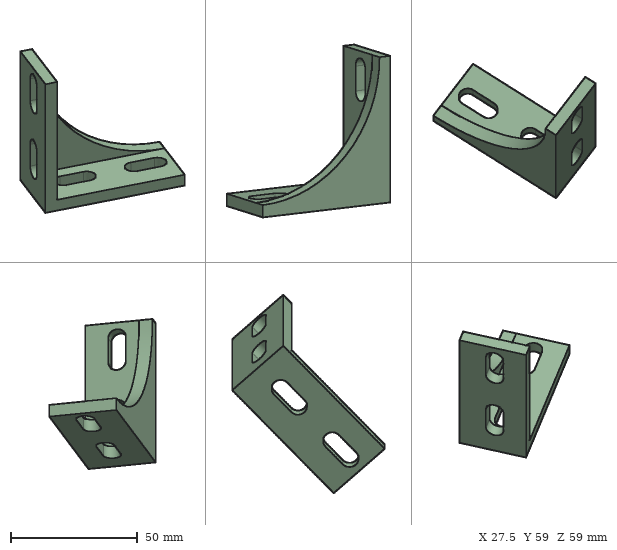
import cadquery as cq

leg_length = 59.0
width = 27.5
plate_thickness = 5.0
web_thickness = 5.5

slot_width = 7.2
slot_length = 17.2
slot_x = 14.5
first_slot_distance = 17.5
slot_spacing = 30.0
slot_distances = [first_slot_distance, first_slot_distance + slot_spacing]


def make_plates():
    """L-shaped bracket: base on the XY plane, upright on the XZ plane."""
    base = cq.Workplane("XY").box(width, leg_length, plate_thickness, centered=False)
    upright = cq.Workplane("XY").box(width, plate_thickness, leg_length, centered=False)
    return base.union(upright)


def make_web():
    """Side web with a concave quarter-circle edge between the leg tips."""
    arc_radius = leg_length - plate_thickness
    block = cq.Workplane("XY").box(web_thickness, leg_length, leg_length, centered=False)
    scoop = (
        cq.Workplane("YZ")
        .center(leg_length, leg_length)
        .circle(arc_radius)
        .extrude(web_thickness)
    )
    return block.cut(scoop)


def make_base_slots():
    """Cutters for the two slots through the base, long along Y."""
    return (
        cq.Workplane("XY")
        .pushPoints([(slot_x, distance) for distance in slot_distances])
        .slot2D(slot_length, slot_width, 90)
        .extrude(plate_thickness)
    )


def make_upright_slots():
    """Cutters for the two slots through the upright, long along Z."""
    return (
        cq.Workplane("XZ")
        .pushPoints([(slot_x, distance) for distance in slot_distances])
        .slot2D(slot_length, slot_width, 90)
        .extrude(-plate_thickness)
    )


bracket = make_plates().union(make_web())
result = bracket.cut(make_base_slots()).cut(make_upright_slots())